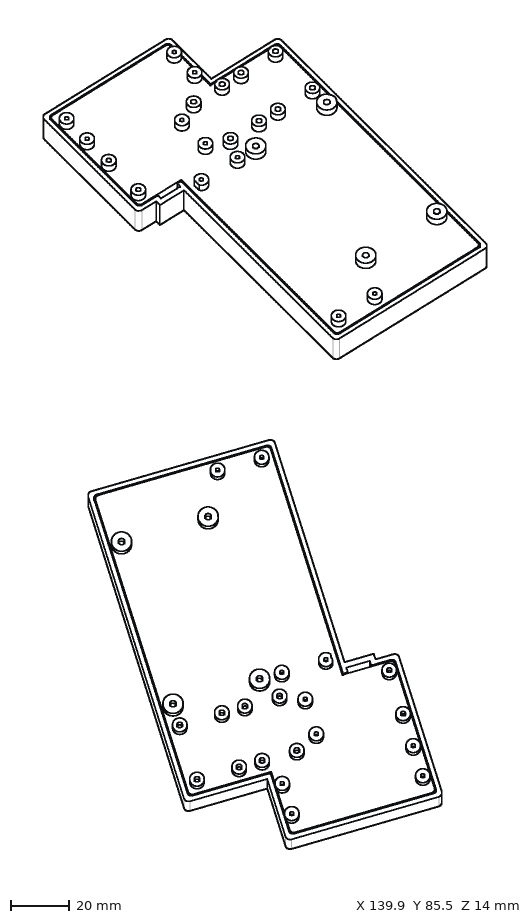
import cadquery as cq
import math

LENGTH = 139.9
WIDTH = 85.5
HOUSING_HEIGHT = 11.0
TOTAL_HEIGHT = 14.0
POST_HEIGHT = TOTAL_HEIGHT - HOUSING_HEIGHT

SMALL_BLOCK_RIGHT = 53.7
SMALL_BLOCK_TOP = 56.1
LARGE_BLOCK_LEFT = 23.2
LARGE_BLOCK_BOTTOM = 18.5
OUTER_CORNER_RADIUS = 1.7

WALL = 1.7
FLOOR = 2.0
PLATE_GAP = 0.4
INNER_CORNER_RADIUS = 1.4

CHANNEL_LENGTH = 8.4
BUMP_WALL = 2.1

POST_RADIUS = 2.5
LARGE_POST_RADIUS = 3.5
FINE_HOLE_RADIUS = 0.7
SMALL_HOLE_RADIUS = 0.8
MEDIUM_HOLE_RADIUS = 1.0
LARGE_HOLE_RADIUS = 1.1

SIDE_POSTS = [(x, y) for x in (8.0, 19.3) for y in (4.9, 51.9)]
PAIR_POSTS = [(x, 35.5) for x in (33.0, 46.0)]
FRONT_POSTS = [(x, 4.9) for x in (31.3, 47.7)]
GRID_POSTS = [(x, y) for x in (29.2, 49.7) for y in (43.7, 56.1, 64.4, 79.5)]
LARGE_POSTS = [(x, y) for x in (57.6, 118.7) for y in (48.4, 79.5)]
FLAT_POST = (57.6, 24.6)
RIGHT_POSTS = [FLAT_POST, (57.6, 40.5), (133.8, 24.6), (133.8, 40.5)]
FLAT_OFFSET = 2.1

POST_KINDS = [
    (SIDE_POSTS, POST_RADIUS, FINE_HOLE_RADIUS),
    (PAIR_POSTS, POST_RADIUS, FINE_HOLE_RADIUS),
    (RIGHT_POSTS, POST_RADIUS, FINE_HOLE_RADIUS),
    (FRONT_POSTS, POST_RADIUS, SMALL_HOLE_RADIUS),
    (GRID_POSTS, POST_RADIUS, MEDIUM_HOLE_RADIUS),
    (LARGE_POSTS, LARGE_POST_RADIUS, LARGE_HOLE_RADIUS),
]


def box_between(x0, y0, x1, y1, bottom, top):
    """Block between two opposite footprint corners and two heights."""
    block = cq.Workplane("XY").box(x1 - x0, y1 - y0, top - bottom, centered=False)
    return block.translate((x0, y0, bottom))


def stepped_block(inset, bottom, top, corner_radius):
    """Prism of the stepped outline, moved inward by `inset`, with its six outward corners rounded."""
    left = inset
    right = LENGTH - inset
    front = inset
    back = WIDTH - inset
    step_left = LARGE_BLOCK_LEFT + inset
    step_back = SMALL_BLOCK_TOP - inset
    step_right = SMALL_BLOCK_RIGHT - inset
    step_front = LARGE_BLOCK_BOTTOM + inset
    outline = [
        (left, front),
        (step_right, front),
        (step_right, step_front),
        (right, step_front),
        (right, back),
        (step_left, back),
        (step_left, step_back),
        (left, step_back),
    ]
    block = cq.Workplane("XY").workplane(offset=bottom).polyline(outline).close().extrude(top - bottom)
    inward_corners = [(step_left, step_back), (step_right, step_front)]
    outward_edges = block.edges("|Z").filter(
        lambda edge: all(
            math.hypot(edge.Center().x - x, edge.Center().y - y) > corner_radius for x, y in inward_corners
        )
    )
    return outward_edges.fillet(corner_radius)


def make_housing():
    """Tray with a stepped pocket, a side channel and the bump in the wall around the channel."""
    channel_front = LARGE_BLOCK_BOTTOM - CHANNEL_LENGTH
    bump = box_between(
        SMALL_BLOCK_RIGHT - WALL,
        channel_front - BUMP_WALL,
        SMALL_BLOCK_RIGHT + BUMP_WALL,
        LARGE_BLOCK_BOTTOM + WALL,
        0,
        HOUSING_HEIGHT,
    )
    pocket = stepped_block(WALL, FLOOR, HOUSING_HEIGHT, INNER_CORNER_RADIUS)
    channel = box_between(
        SMALL_BLOCK_RIGHT - 2 * WALL,
        channel_front,
        SMALL_BLOCK_RIGHT,
        LARGE_BLOCK_BOTTOM,
        FLOOR,
        HOUSING_HEIGHT,
    )
    body = stepped_block(0, 0, HOUSING_HEIGHT, OUTER_CORNER_RADIUS)
    return body.union(bump).cut(pocket).cut(channel)


def make_posts(centres, radius):
    """Cylinders standing on the plate, also used for the holes in them."""
    top_plane = cq.Workplane("XY").workplane(offset=HOUSING_HEIGHT)
    return top_plane.pushPoints(centres).circle(radius).extrude(POST_HEIGHT)


def make_plate():
    """Plate that rests on the housing floor, flush with the rim, and carries the hollow posts."""
    plate = stepped_block(WALL + PLATE_GAP, FLOOR, HOUSING_HEIGHT, INNER_CORNER_RADIUS)
    for centres, radius, hole_radius in POST_KINDS:
        plate = plate.union(make_posts(centres, radius))
        plate = plate.cut(make_posts(centres, hole_radius))
    flat_x, flat_y = FLAT_POST
    flat_cut = box_between(
        flat_x - POST_RADIUS,
        flat_y - POST_RADIUS,
        flat_x + POST_RADIUS,
        flat_y - FLAT_OFFSET,
        HOUSING_HEIGHT,
        TOTAL_HEIGHT,
    )
    return plate.cut(flat_cut)


housing = make_housing()
plate = make_plate()
result = cq.Compound.makeCompound([housing.val(), plate.val()])